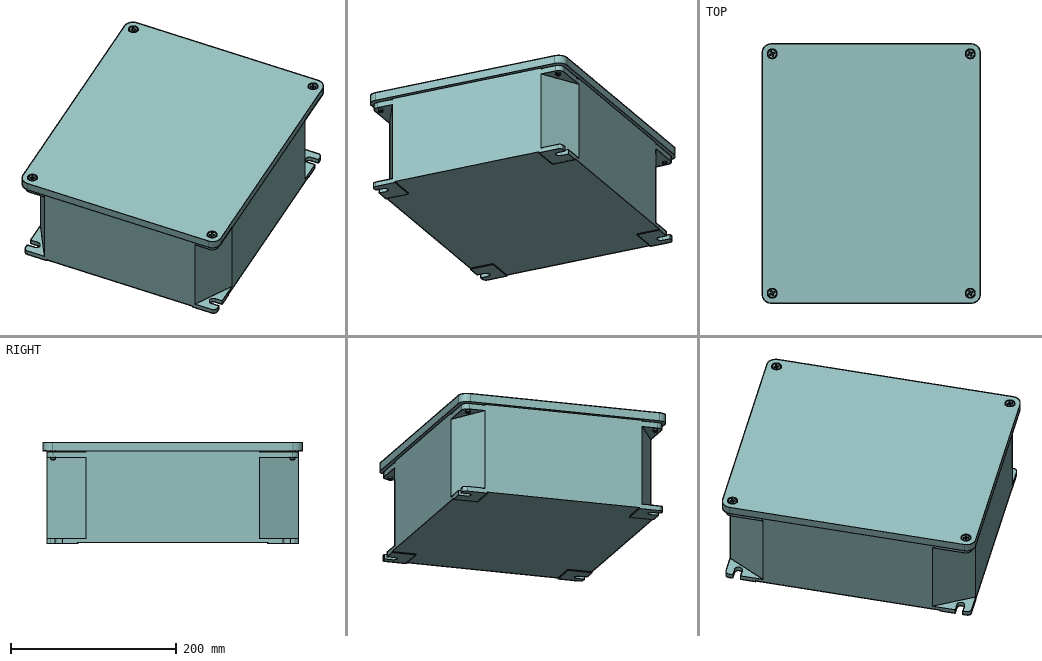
import cadquery as cq

LID_X = 264.0
LID_Y = 314.0
TOTAL_HEIGHT = 122.5
LID_THICKNESS = 10.5
LID_CORNER_RADIUS = 11.3
LID_BOTTOM = TOTAL_HEIGHT - LID_THICKNESS

BOX_X = 255.5
BOX_Y = 304.5
BOX_BOTTOM = 1.3
BEVEL_X = 27.3
BEVEL_Y = 47.5

LUG_TOP = LID_BOTTOM - 1.0
LUG_BOTTOM = 104.2
LUG_CORNER_RADIUS = 7.5

FOOT_TOP = 6.0
FOOT_CORNER_RADIUS = 4.7
PAD_X = 30.8
PAD_Y = 37.7
SLOT_WIDTH = 9.5
SLOT_DEPTH = 14.5
SLOT_FROM_END = 14.5

SCREW_INSET = 12.2
SCREW_X = LID_X / 2 - SCREW_INSET
SCREW_Y = LID_Y / 2 - SCREW_INSET
SHANK_DIAMETER = 6.0
SCREW_TIP = 101.5
TIP_CHAMFER = 1.0
HEAD_DIAMETER = 10.0
HEAD_HEIGHT = 4.0
HEAD_RECESS_DEPTH = 0.3
COUNTERBORE_DIAMETER = 12.0
CROSS_LENGTH = 6.3
CROSS_ANGLE = 25
CROSS_WIDTH = 1.5
CROSS_DEPTH = 2.0
HEAD_TOP = TOTAL_HEIGHT - HEAD_RECESS_DEPTH
HEAD_BOTTOM = HEAD_TOP - HEAD_HEIGHT

CORNER_SIGNS = [(sx, sy) for sx in (-1, 1) for sy in (-1, 1)]
SCREW_POINTS = [(sx * SCREW_X, sy * SCREW_Y) for sx, sy in CORNER_SIGNS]


def slab(size_x, size_y, bottom, top):
    """Rectangular block centred on the Z axis."""
    return cq.Workplane("XY", origin=(0, 0, bottom)).rect(size_x, size_y).extrude(top - bottom)


def cylinders(points, diameter, bottom, top):
    """Upright cylinders between two heights."""
    return (
        cq.Workplane("XY", origin=(0, 0, bottom))
        .pushPoints(points)
        .circle(diameter / 2)
        .extrude(top - bottom)
    )


def bevelled_block():
    """Main block of the box, its vertical corners cut off by flat bevels."""
    half_x, half_y = BOX_X / 2, BOX_Y / 2
    inner_x, inner_y = half_x - BEVEL_X, half_y - BEVEL_Y
    return (
        cq.Workplane("XY", origin=(0, 0, BOX_BOTTOM))
        .polyline([
            (inner_x, half_y), (half_x, inner_y), (half_x, -inner_y), (inner_x, -half_y),
            (-inner_x, -half_y), (-half_x, -inner_y), (-half_x, inner_y), (-inner_x, half_y),
        ])
        .close()
        .extrude(LID_BOTTOM - BOX_BOTTOM)
    )


def make_feet():
    """Foot plate reaching into the four corners, with a pad under each one."""
    plate = slab(BOX_X, BOX_Y, BOX_BOTTOM, FOOT_TOP)
    pad_points = [
        (sx * (BOX_X - PAD_X) / 2, sy * (BOX_Y - PAD_Y) / 2) for sx, sy in CORNER_SIGNS
    ]
    pads = cq.Workplane("XY").pushPoints(pad_points).rect(PAD_X, PAD_Y).extrude(FOOT_TOP)
    outline = slab(BOX_X, BOX_Y, 0, FOOT_TOP).edges("|Z").fillet(FOOT_CORNER_RADIUS)
    return plate.union(pads).intersect(outline)


def make_foot_slots():
    """Round-ended slots, each running in from an X side of the box."""
    slot_points = [
        (sx * BOX_X / 2, sy * (BOX_Y / 2 - SLOT_FROM_END)) for sx, sy in CORNER_SIGNS
    ]
    return (
        cq.Workplane("XY")
        .pushPoints(slot_points)
        .slot2D(2 * SLOT_DEPTH, SLOT_WIDTH)
        .extrude(FOOT_TOP)
    )


def make_box():
    """Box with screw lugs at the top and slotted feet at the bottom."""
    lugs = slab(BOX_X, BOX_Y, LUG_BOTTOM, LUG_TOP).edges("|Z").fillet(LUG_CORNER_RADIUS)
    screw_holes = cylinders(SCREW_POINTS, SHANK_DIAMETER, LUG_BOTTOM, LUG_TOP)
    feet = make_feet().cut(make_foot_slots())
    return bevelled_block().union(lugs).union(feet).cut(screw_holes)


def make_lid():
    """Flat lid with a counterbored hole for each screw."""
    plate = slab(LID_X, LID_Y, LID_BOTTOM, TOTAL_HEIGHT).edges("|Z").fillet(LID_CORNER_RADIUS)
    shank_holes = cylinders(SCREW_POINTS, SHANK_DIAMETER, LID_BOTTOM, HEAD_BOTTOM)
    counterbores = cylinders(SCREW_POINTS, COUNTERBORE_DIAMETER, HEAD_BOTTOM, TOTAL_HEIGHT)
    return plate.cut(shank_holes).cut(counterbores)


def make_screw(point):
    """Cross-head screw with a chamfered tip below the lug."""
    shank = cylinders([point], SHANK_DIAMETER, SCREW_TIP, HEAD_BOTTOM).faces("<Z").chamfer(TIP_CHAMFER)
    head = cylinders([point], HEAD_DIAMETER, HEAD_BOTTOM, HEAD_TOP)
    recess_plane = cq.Workplane("XY", origin=(*point, HEAD_TOP - CROSS_DEPTH))
    for angle in (CROSS_ANGLE, CROSS_ANGLE + 90):
        turned_plane = recess_plane.transformed(rotate=(0, 0, angle))
        head = head.cut(turned_plane.rect(CROSS_LENGTH, CROSS_WIDTH).extrude(CROSS_DEPTH))
    return shank.union(head)


box = make_box()
lid = make_lid()
screws = [make_screw(point) for point in SCREW_POINTS]

result = cq.Compound.makeCompound([box.val(), lid.val(), *[screw.val() for screw in screws]])